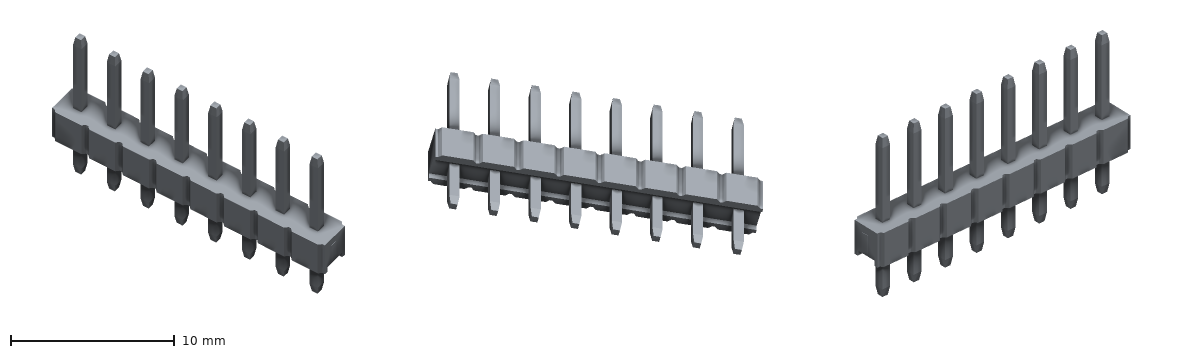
import cadquery as cq

overall_length = 20.53
pin_count = 8

unit_length = 2.73
block_depth = 2.5
block_height = 2.46
tab_length = 0.18
tab_depth = 2.1
corner_length = 0.2

channel_width = 1.56
channel_height = 0.4

pin_width = 0.64
tip_width = 0.43
tip_length = 0.64
pin_above_block = 6.04
pin_below_block = 3.0

pad_thickness = 0.02
pad_width = 0.5
pad_height = 1.35
pad_offset_y = -0.12

pitch = (overall_length - pad_thickness - unit_length) / (pin_count - 1)
unit_overlap = unit_length - pitch
first_pin_x = -pitch * (pin_count - 1) / 2


def make_block():
    """Block with narrow end tabs, chamfered towards them, and a channel underneath."""
    end_x = unit_length / 2
    shoulder_x = end_x - tab_length
    face_x = shoulder_x - corner_length
    tab_y = tab_depth / 2
    face_y = block_depth / 2
    half_outline = [
        (-end_x, tab_y),
        (-shoulder_x, tab_y),
        (-face_x, face_y),
        (face_x, face_y),
        (shoulder_x, tab_y),
        (end_x, tab_y),
    ]
    other_half = [(-x, -y) for x, y in half_outline]
    block = cq.Workplane("XY").polyline(half_outline + other_half).close().extrude(block_height)
    channel = cq.Workplane("XY").box(
        unit_length, channel_width, channel_height, centered=(True, True, False)
    )
    return block.cut(channel)


def make_tip(base_z, length):
    """Tapered pin end; a negative length points it down."""
    return (
        cq.Workplane("XY", origin=(0, 0, base_z))
        .rect(pin_width, pin_width)
        .workplane(offset=length)
        .rect(tip_width, tip_width)
        .loft()
    )


def make_pin():
    """Square pin through the block, tapered at both ends."""
    shank_bottom = tip_length - pin_below_block
    shank_top = block_height + pin_above_block - tip_length
    shank = (
        cq.Workplane("XY", origin=(0, 0, shank_bottom))
        .rect(pin_width, pin_width)
        .extrude(shank_top - shank_bottom)
    )
    return shank.union(make_tip(shank_top, tip_length)).union(make_tip(shank_bottom, -tip_length))


def make_end_pad():
    """Raised pad on the +X end face of a unit."""
    return cq.Workplane("XY").box(
        pad_thickness, pad_width, pad_height, centered=(False, True, True)
    ).translate((unit_length / 2, pad_offset_y, block_height / 2))


def make_header_unit(index):
    """One block with its pin; every unit after the first starts where the one before ends."""
    unit = make_block().union(make_pin())
    if index > 0:
        neighbour_space = cq.Workplane("XY").box(
            unit_overlap, block_depth, block_height, centered=(False, True, False)
        ).translate((-unit_length / 2, 0, 0))
        unit = unit.cut(neighbour_space)
    if index == pin_count - 1:
        unit = unit.union(make_end_pad())
    return unit.translate((first_pin_x + index * pitch, 0, 0))


header_units = [make_header_unit(index) for index in range(pin_count)]

result = cq.Compound.makeCompound([unit.val() for unit in header_units])